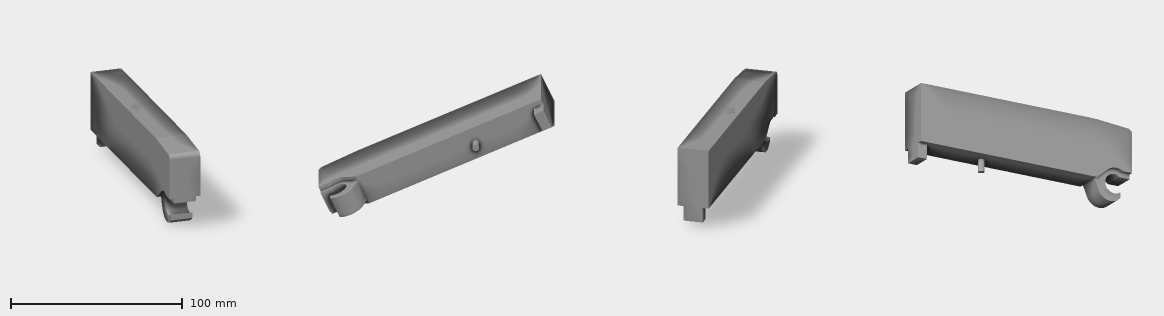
import cadquery as cq
import math


body_length = 142.2
body_width = 18.8
body_height = 36.0
slope_start_x = 117.1
slope_angle = 5.0
nose_radius = 3.0

foot_length = 6.0
foot_width = 11.6
foot_height = 9.0
pin_diameter = 4.0
pin_x = 46.0
pin_height = 7.6

hook_width = 13.3
hook_root_x = 118.4
hook_tip_x = 136.0
hook_tip_z = -8.7
hook_tip_flat = 0.6
hook_heel_x = 121.0
hook_heel_z = -6.4
hook_bottom_x = 129.1
hook_bottom_z = -12.02
seat_x = 131.7
seat_z = -0.8
seat_radius = 6.0
hook_wall = 3.0
strip_bottom_z = 3.9

mark_height = 0.5
mark_x = 63.2
mark_y = -3.7
mark_length = 6.2
mark_span = 5.1
mark_stroke = 0.85

relief_radius = seat_radius + hook_wall
relief_end_z = strip_bottom_z + hook_wall
relief_end_x = seat_x + math.sqrt(relief_radius**2 - (relief_end_z - seat_z) ** 2)
relief_top_z = seat_z + relief_radius


def relief_tangent_point():
    """Point where a line from the hook root touches the relief circle on its upper left."""
    root_distance = math.hypot(seat_x - hook_root_x, seat_z)
    root_direction = math.atan2(-seat_z, hook_root_x - seat_x)
    angle = root_direction - math.acos(relief_radius / root_distance)
    return seat_x + relief_radius * math.cos(angle), seat_z + relief_radius * math.sin(angle)


def extrude_centred(outline, width):
    """Extrude an XZ outline by the given width, centred on Y = 0."""
    return outline.extrude(width / 2, both=True)


def make_body():
    nose_z = body_height - (body_length - slope_start_x) * math.tan(math.radians(slope_angle))
    outline = (
        cq.Workplane("XZ")
        .moveTo(0, 0)
        .lineTo(hook_root_x, 0)
        .lineTo(*relief_tangent_point())
        .threePointArc((seat_x, relief_top_z), (relief_end_x, relief_end_z))
        .lineTo(body_length, relief_end_z)
        .lineTo(body_length, nose_z)
        .lineTo(slope_start_x, body_height)
        .lineTo(0, body_height)
        .close()
    )
    nose_edge = cq.selectors.NearestToPointSelector((body_length, 0, nose_z))
    return extrude_centred(outline, body_width).edges(nose_edge).fillet(nose_radius)


def make_hook():
    seat_upper_x = seat_x + math.sqrt(seat_radius**2 - (strip_bottom_z - seat_z) ** 2)
    seat_lower_x = hook_tip_x - hook_tip_flat
    seat_lower_z = seat_z - math.sqrt(seat_radius**2 - (seat_lower_x - seat_x) ** 2)
    outline = (
        cq.Workplane("XZ")
        .moveTo(hook_root_x, 0)
        .lineTo(hook_heel_x, hook_heel_z)
        .threePointArc((hook_bottom_x, hook_bottom_z), (hook_tip_x, hook_tip_z))
        .lineTo(hook_tip_x, seat_lower_z)
        .lineTo(seat_lower_x, seat_lower_z)
        .threePointArc((seat_x - seat_radius, seat_z), (seat_upper_x, strip_bottom_z))
        .lineTo(body_length, strip_bottom_z)
        .lineTo(body_length, relief_end_z)
        .lineTo(relief_end_x, relief_end_z)
        .threePointArc((seat_x, relief_top_z), relief_tangent_point())
        .close()
    )
    return extrude_centred(outline, hook_width)


def make_foot():
    underside = cq.Workplane("XY", origin=(0, 0, -foot_height))
    return underside.box(foot_length, foot_width, foot_height, centered=(False, True, False))


def make_pin():
    return cq.Workplane("XY").center(pin_x, 0).circle(pin_diameter / 2).extrude(-pin_height)


def make_mark():
    top = cq.Workplane("XY", origin=(mark_x, mark_y, body_height))
    along_x = (False, True, False)
    bar = top.box(mark_stroke, mark_span, mark_height, centered=along_x)
    stem = top.box(mark_length, mark_stroke, mark_height, centered=along_x)
    return bar.union(stem)


result = make_body()
for feature in (make_hook(), make_foot(), make_pin(), make_mark()):
    result = result.union(feature)